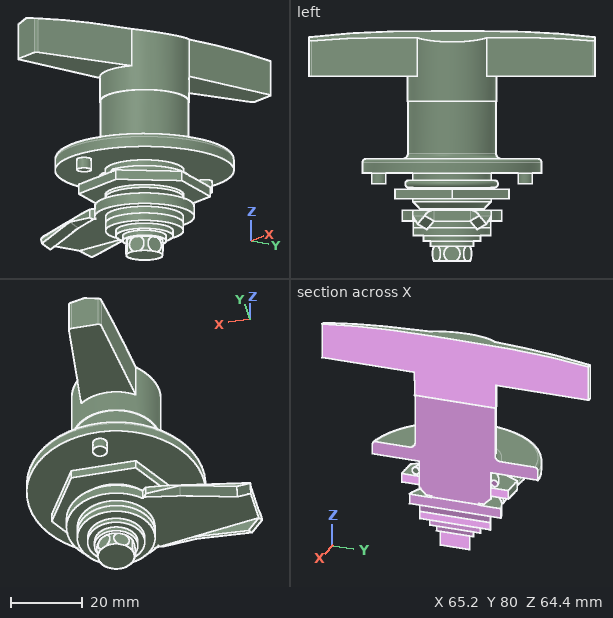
import math

import cadquery as cq


handle_length = 80.0
handle_bottom = 20.0
handle_top = 39.8
hub_radius = 12.5
wing_bottom = 27.0
wing_half_width_axis = 8.9
wing_half_width_tip = 4.6
wing_corner_radius = 0.8
ridge_shoulder = 17.6
ridge_shoulder_drop = 0.2
ridge_tip_drop = 1.8
roof_slope = 0.25

collar_radius = 12.3
collar_fillet = 1.5
flange_radius = 25.0
flange_thickness = 4.0
flange_edge_fillet = 1.0
stem_radius = 11.0
stem_length = 10.0
stem_chamfer = 2.0
end_boss_radius = 7.5
locating_pin_radius = 2.0
locating_pin_length = 3.0
locating_pin_offset = 20.5

ring_wire_radius = 1.0
ring_center_z = -3.0
ring_gap = 4.8

nut_across_flats = 32.0
nut_top = -4.5
nut_thickness = 2.7

cam_top = -10.4
cam_thickness = 3.0
cam_radius = 13.9
arm_reach = 40.2
arm_root_half_width = 11.0
arm_tip_half_width = 5.0
arm_taper_angle = 10.1
bend_angle = 60.0
bent_edge_depth = 2.7
bent_edge_peak = 3.7
bent_edge_length = 19.8

spacer_radius = 10.9
upper_spacer_thickness = 1.9
lower_spacer_thickness = 2.2
wide_washer_radius = 8.0
wide_washer_thickness = 1.5
narrow_washer_radius = 6.1
narrow_washer_thickness = 1.4

bolt_across_flats = 10.1
bolt_sphere_radius = 5.5
bolt_head_height = 4.2


def disc(radius, bottom, height):
    """Upright cylinder on the Z axis."""
    return cq.Workplane("XY").workplane(offset=bottom).circle(radius).extrude(height)


def hexagon(across_flats, bottom, height):
    """Upright hexagonal prism with two corners on the X axis."""
    across_corners = across_flats / math.cos(math.radians(30))
    return cq.Workplane("XY").workplane(offset=bottom).polygon(6, across_corners).extrude(height)


def make_roof():
    """Block under the roof-shaped top, whose ridge is nearly level in the middle and falls to both tips."""
    half_length = handle_length / 2
    tip_z = handle_top - ridge_tip_drop
    shoulder_z = handle_top - ridge_shoulder_drop
    profile = (
        cq.Workplane("YZ")
        .moveTo(-half_length, handle_bottom)
        .lineTo(-half_length, tip_z)
        .spline(
            [(-ridge_shoulder, shoulder_z), (0, handle_top), (ridge_shoulder, shoulder_z), (half_length, tip_z)],
            includeCurrent=True,
        )
        .lineTo(half_length, handle_bottom)
        .close()
        .val()
    )
    half_width = 2 * hub_radius
    halves = [
        cq.Solid.extrudeLinear(profile, [], cq.Vector(side * half_width, 0, -roof_slope * half_width))
        for side in (-1, 1)
    ]
    return cq.Workplane(halves[0]).union(cq.Workplane(halves[1]))


def make_handle():
    half_length = handle_length / 2
    height = handle_top - handle_bottom
    wings = (
        cq.Workplane("XY")
        .workplane(offset=wing_bottom)
        .polyline([
            (-wing_half_width_tip, -half_length),
            (wing_half_width_tip, -half_length),
            (wing_half_width_axis, 0),
            (wing_half_width_tip, half_length),
            (-wing_half_width_tip, half_length),
            (-wing_half_width_axis, 0),
        ])
        .close()
        .extrude(handle_top - wing_bottom)
        .edges("|Z and (>Y or <Y)")
        .fillet(wing_corner_radius)
    )
    return disc(hub_radius, handle_bottom, height).union(wings).intersect(make_roof())


def make_housing():
    body = (
        cq.Workplane("XZ")
        .lineTo(flange_radius, 0)
        .lineTo(flange_radius, flange_thickness - flange_edge_fillet)
        .radiusArc((flange_radius - flange_edge_fillet, flange_thickness), -flange_edge_fillet)
        .lineTo(collar_radius + collar_fillet, flange_thickness)
        .radiusArc((collar_radius, flange_thickness + collar_fillet), collar_fillet)
        .lineTo(collar_radius, handle_bottom)
        .lineTo(0, handle_bottom)
        .close()
        .revolve(360, (0, 0), (0, 1))
    )
    stem = disc(stem_radius, -stem_length, stem_length).faces("<Z").chamfer(stem_chamfer)
    end_boss = disc(end_boss_radius, cam_top, -cam_top)
    locating_pins = (
        cq.Workplane("XY")
        .pushPoints([(0, -locating_pin_offset), (0, locating_pin_offset)])
        .circle(locating_pin_radius)
        .extrude(-locating_pin_length)
    )
    return body.union(stem).union(end_boss).union(locating_pins)


def make_split_ring():
    mean_radius = stem_radius + ring_wire_radius
    ring = (
        cq.Workplane("XZ")
        .center(mean_radius, ring_center_z)
        .circle(ring_wire_radius)
        .revolve(360, (-mean_radius, 0), (-mean_radius, 1))
    )
    gap = cq.Workplane("XY").box(ring_gap, mean_radius, 4 * ring_wire_radius)
    return ring.cut(gap.translate((0, -mean_radius, ring_center_z)))


def make_nut():
    nut = hexagon(nut_across_flats, nut_top - nut_thickness, nut_thickness)
    return nut.cut(disc(stem_radius, nut_top - nut_thickness, nut_thickness))


def make_bent_edge(tip_x):
    """Bend and bent-down lip along the +Y edge of the arm."""
    taper = math.radians(arm_taper_angle)
    bend = math.radians(bend_angle)
    bend_length = -tip_x / math.cos(taper)
    pivot = cq.Vector(tip_x, arm_tip_half_width, cam_top - cam_thickness)
    along = cq.Vector(math.cos(taper), math.sin(taper), 0)
    outward = cq.Vector(-math.sin(taper), math.cos(taper), 0)
    down_lip = outward * math.cos(bend) - cq.Vector(0, 0, math.sin(bend))

    bend_plane = cq.Plane(origin=pivot, xDir=outward, normal=along)
    bend_sector = (
        cq.Workplane(bend_plane)
        .lineTo(0, cam_thickness)
        .threePointArc(
            (cam_thickness * math.sin(bend / 2), cam_thickness * math.cos(bend / 2)),
            (cam_thickness * math.sin(bend), cam_thickness * math.cos(bend)),
        )
        .close()
        .extrude(bend_length)
    )

    lip_plane = cq.Plane(origin=pivot, xDir=along, normal=along.cross(down_lip))
    lip = (
        cq.Workplane(lip_plane)
        .polyline([(0, 0), (bent_edge_peak, bent_edge_depth), (bent_edge_length, 0)])
        .close()
        .extrude(cam_thickness)
    )
    return bend_sector.union(lip)


def make_cam():
    taper = math.radians(arm_taper_angle)
    bottom = cam_top - cam_thickness
    bend_width = cam_thickness * math.sin(math.radians(bend_angle))
    tip_x = bend_width * math.sin(taper) - arm_reach
    axis_half_width = arm_tip_half_width - tip_x * math.tan(taper)
    flat = (
        cq.Workplane("XY")
        .workplane(offset=bottom)
        .polyline([
            (tip_x, -arm_tip_half_width),
            (tip_x, arm_tip_half_width),
            (0, axis_half_width),
            (0, -axis_half_width),
        ])
        .close()
        .extrude(cam_thickness)
    )
    bent_edge = make_bent_edge(tip_x)
    arm = flat.union(bent_edge).union(bent_edge.mirror("XZ"))

    trim_depth = cam_thickness + 2 * bent_edge_depth
    arm_limit = (
        cq.Workplane("XY")
        .workplane(offset=cam_top - trim_depth)
        .polyline([
            (0, 0),
            (-arm_root_half_width, arm_root_half_width),
            (-2 * arm_reach, arm_root_half_width),
            (-2 * arm_reach, -arm_root_half_width),
            (-arm_root_half_width, -arm_root_half_width),
        ])
        .close()
        .extrude(trim_depth)
    )
    return disc(cam_radius, bottom, cam_thickness).union(arm.intersect(arm_limit))


def make_bolt_head(top):
    head = hexagon(bolt_across_flats, top - bolt_head_height, bolt_head_height)
    head = head.rotate((0, 0, 0), (0, 0, 1), 30)
    sphere = cq.Workplane("XY").sphere(bolt_sphere_radius)
    return head.intersect(sphere.translate((0, 0, top - bolt_head_height / 2)))


upper_spacer_bottom = cam_top - cam_thickness - upper_spacer_thickness
lower_spacer_bottom = upper_spacer_bottom - lower_spacer_thickness
wide_washer_bottom = lower_spacer_bottom - wide_washer_thickness
narrow_washer_bottom = wide_washer_bottom - narrow_washer_thickness

handle = make_handle()
housing = make_housing()
split_ring = make_split_ring()
nut = make_nut()
cam = make_cam()
upper_spacer = disc(spacer_radius, upper_spacer_bottom, upper_spacer_thickness)
lower_spacer = disc(spacer_radius, lower_spacer_bottom, lower_spacer_thickness)
wide_washer = disc(wide_washer_radius, wide_washer_bottom, wide_washer_thickness)
narrow_washer = disc(narrow_washer_radius, narrow_washer_bottom, narrow_washer_thickness)
bolt_head = make_bolt_head(narrow_washer_bottom)

result = cq.Compound.makeCompound([
    handle.val(),
    housing.val(),
    split_ring.val(),
    nut.val(),
    cam.val(),
    upper_spacer.val(),
    lower_spacer.val(),
    wide_washer.val(),
    narrow_washer.val(),
    bolt_head.val(),
])